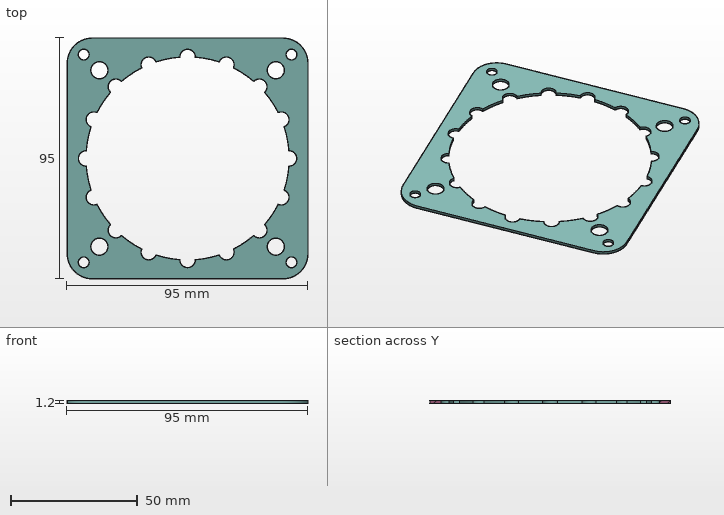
import cadquery as cq

side = 95.0
thickness = 1.2
corner_radius = 10.0

opening_diameter = 80.0
notch_count = 16
notch_diameter = 6.0

small_hole_diameter = 4.2
small_hole_spacing = 81.9
large_hole_diameter = 6.65
large_hole_spacing = 69.5


def rounded_plate():
    plate = cq.Workplane("XY").box(side, side, thickness)
    return plate.edges("|Z").fillet(corner_radius)


def cut_notched_opening(plate):
    opened = plate.faces(">Z").workplane().hole(opening_diameter)
    notches = (
        cq.Workplane("XY")
        .polarArray(opening_diameter / 2, 0, 360, notch_count)
        .circle(notch_diameter / 2)
        .extrude(thickness, both=True)
    )
    return opened.cut(notches)


def cut_corner_holes(plate, spacing, diameter):
    holes = (
        cq.Workplane("XY")
        .rarray(spacing, spacing, 2, 2)
        .circle(diameter / 2)
        .extrude(thickness, both=True)
    )
    return plate.cut(holes)


result = cut_notched_opening(rounded_plate())
result = cut_corner_holes(result, small_hole_spacing, small_hole_diameter)
result = cut_corner_holes(result, large_hole_spacing, large_hole_diameter)